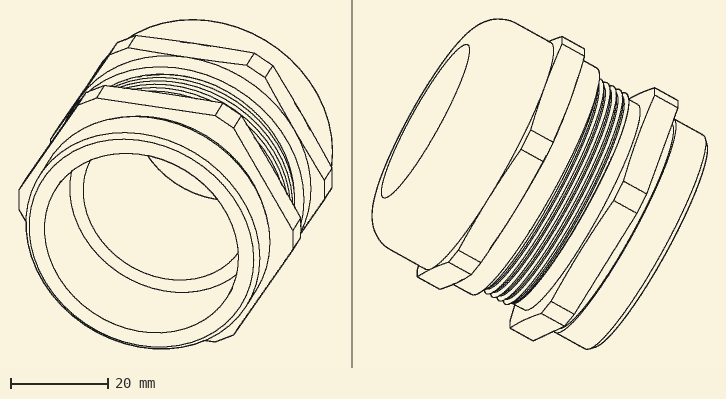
import cadquery as cq
import math

across_flats = 53.2
across_corners = 58.8
cap_radius = across_flats / 2

collar_end = 8.1
nut_start = 10.2
nut_end = 16.05
thread_start = 19.1
cap_start = 27.15
cap_hex_start = 32.05
cap_hex_end = 38.1
total_length = 53.0

collar_radius = 25.1
collar_chamfer = 1.0
neck_radius = 24.1
cap_round = 6.65

bevel_drop = 0.45
bevel_reach = 30.6

thread_turns = 5.4
thread_pitch = (cap_start - thread_start) / thread_turns
thread_crest_radius = 25.0
ridge_width = 1.4
lead_in_turns = 1.4
run_out_turns = 1.2
ridge_overlap = 0.2
thread_end = cap_start + thread_pitch / 4

entry_radius = 20.8
entry_depth = 17.8
through_radius = 17.95


def cylinder(radius, start, end):
    """Cylinder about the Y axis between two stations."""
    return cq.Workplane("XZ", origin=(0, start, 0)).circle(radius).extrude(start - end)


def hex_prism(flats, turn, start, end):
    """Hexagonal prism about the Y axis; turn 0 puts flats at the top and bottom."""
    corner_diameter = flats / math.cos(math.pi / 6)
    prism = cq.Workplane("XZ", origin=(0, start, 0)).polygon(6, corner_diameter).extrude(start - end)
    return prism.rotate((0, 0, 0), (0, 1, 0), turn)


def bevelled_hex(start, end, bevel_front):
    """Hexagon with flattened corners, bevelled at its rear and optionally its front."""
    body = hex_prism(across_flats, 0, start, end)
    body = body.intersect(hex_prism(across_corners, 30, start, end))
    front_radius = cap_radius if bevel_front else bevel_reach
    envelope = (
        cq.Workplane("XY")
        .moveTo(0, start)
        .lineTo(front_radius, start)
        .lineTo(bevel_reach, start + bevel_drop)
        .lineTo(bevel_reach, end - bevel_drop)
        .lineTo(cap_radius, end)
        .lineTo(0, end)
        .close()
        .revolve(360, (0, 0, 0), (0, 1, 0))
    )
    return body.intersect(envelope)


def helical_thread():
    """Right-handed V ridge, trimmed to the threaded stretch of the neck."""
    helix_start = thread_start - lead_in_turns * thread_pitch
    helix_height = (lead_in_turns + thread_turns + run_out_turns) * thread_pitch
    ridge_root = neck_radius - ridge_overlap
    path = cq.Wire.makeHelix(thread_pitch, helix_height, ridge_root)
    ridge = (
        cq.Workplane("XZ")
        .moveTo(ridge_root, -ridge_width / 2)
        .lineTo(thread_crest_radius, 0)
        .lineTo(ridge_root, ridge_width / 2)
        .close()
        .sweep(path, isFrenet=True)
        .rotate((0, 0, 0), (1, 0, 0), -90)
        .translate((0, helix_start, 0))
    )
    return ridge.intersect(cylinder(cap_radius, thread_start, thread_end))


collar = cylinder(collar_radius, 0, collar_end).faces("<Y").chamfer(collar_chamfer)
threaded_neck = cylinder(neck_radius, collar_end, cap_hex_start).union(helical_thread())
cap = cylinder(cap_radius, cap_start, total_length).faces(">Y").edges().fillet(cap_round)

body = collar.union(threaded_neck).union(cap)
body = body.union(bevelled_hex(nut_start, nut_end, bevel_front=False))
body = body.union(bevelled_hex(cap_hex_start, cap_hex_end, bevel_front=True))

result = body.cut(cylinder(entry_radius, 0, entry_depth)).cut(cylinder(through_radius, 0, total_length))